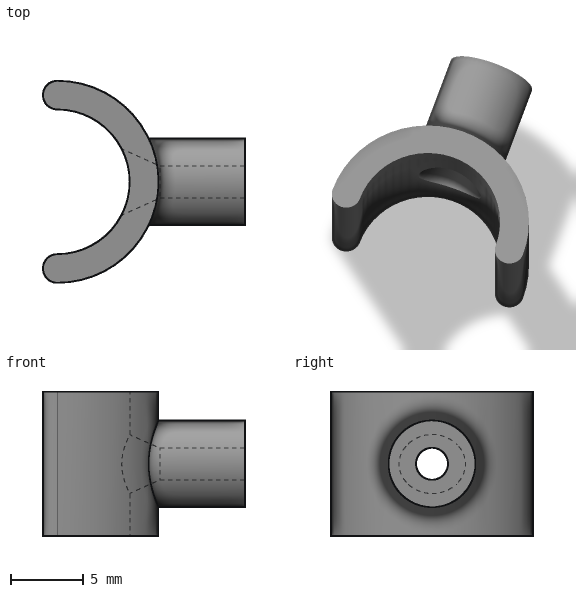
import cadquery as cq

overall_length = 14.0
clip_outer_diameter = 14.0
clip_inner_diameter = 10.0
clip_height = 10.0
stem_diameter = 6.0
bore_diameter = 2.2
countersink_diameter = 4.09
countersink_depth = 2.1

outer_radius = clip_outer_diameter / 2
inner_radius = clip_inner_diameter / 2
tip_radius = (outer_radius - inner_radius) / 2
stem_end = overall_length - tip_radius


def clip_body():
    """Half ring with fully rounded tips, open toward -X."""
    return (
        cq.Workplane("XY")
        .workplane(offset=-clip_height / 2)
        .moveTo(0, -outer_radius)
        .threePointArc((outer_radius, 0), (0, outer_radius))
        .threePointArc((-tip_radius, outer_radius - tip_radius), (0, inner_radius))
        .threePointArc((inner_radius, 0), (0, -inner_radius))
        .threePointArc((-tip_radius, tip_radius - outer_radius), (0, -outer_radius))
        .close()
        .extrude(clip_height)
    )


def stem():
    """Round stem starting inside the clip wall and running to +X."""
    start = (inner_radius + outer_radius) / 2
    return cq.Workplane("YZ").workplane(offset=start).circle(stem_diameter / 2).extrude(stem_end - start)


def screw_hole():
    """Through bore whose conical countersink opens into the clip.

    The cone has its nominal diameter at the deepest line of the clip's inner
    face and widens at the same slope toward the clip axis.
    """
    bore_radius = bore_diameter / 2
    cone_bottom = inner_radius + countersink_depth
    cone_slope = (countersink_diameter / 2 - bore_radius) / countersink_depth
    mouth_radius = bore_radius + cone_slope * cone_bottom
    return (
        cq.Workplane("XY")
        .lineTo(0, mouth_radius)
        .lineTo(cone_bottom, bore_radius)
        .lineTo(stem_end, bore_radius)
        .lineTo(stem_end, 0)
        .close()
        .revolve(360, (0, 0, 0), (1, 0, 0))
    )


result = clip_body().union(stem()).cut(screw_hole())